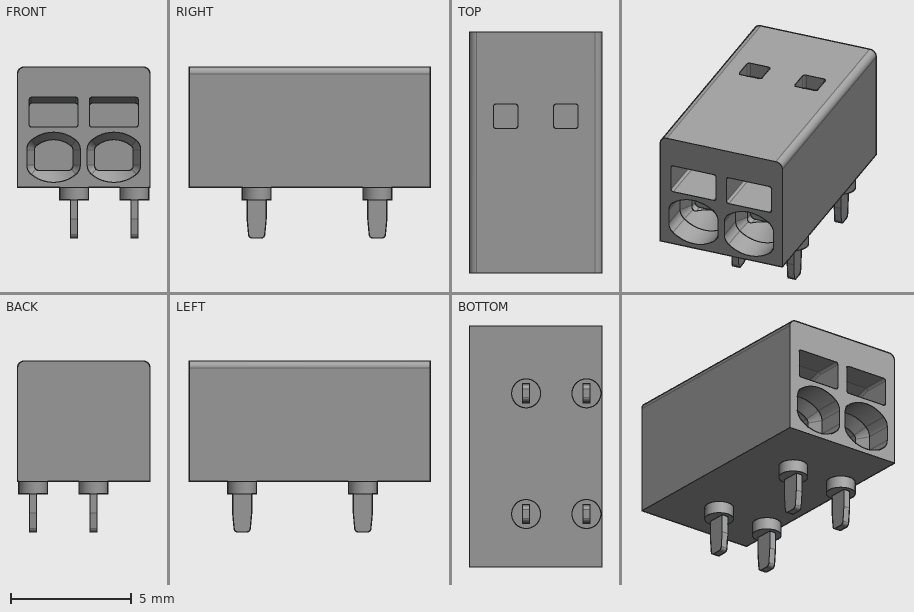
import cadquery as cq
import math

housing_width = 5.5
housing_length = 10.0
housing_height = 5.0
top_edge_radius = 0.3
front_y = -housing_length / 2

pole_pitch = 2.5
pole_xs = [-pole_pitch / 2, pole_pitch / 2]

window_width = 2.02
window_bottom = 2.5
window_height = 1.24
window_corner_radius = 0.1
window_straight_depth = 1.2
window_slope_drop = 0.25
window_slope_angle = 15.5

entry_center_z = 1.25
entry_half_width = 1.11
entry_half_height = 1.04
entry_flat_half_height = 0.31
entry_arch_radius = 1.45
mouth_depth = 1.2
funnel_end_inset = 0.5
funnel_angle = 30.0
bore_inset = 0.31
bore_floor_drop = 0.55
bore_floor_radius = 0.2

probe_size = 1.02
probe_y = 1.5
probe_depth = 0.63
probe_corner_radius = 0.12

collar_diameter = 1.2
collar_height = 0.52
pin_offset_x = 0.85
pin_xs = [pole_x + pin_offset_x for pole_x in pole_xs]
pin_spacing_y = 5.0
rear_pin_y = 2.8
pin_ys = [rear_pin_y - pin_spacing_y, rear_pin_y]

pin_thickness = 0.3
pin_width = 0.8
pin_tip_width = 0.65
pin_tip_z = -2.1
pin_taper_length = 0.8
pin_tip_radius = 0.16


def make_block():
    block = cq.Workplane("XY").box(
        housing_width, housing_length, housing_height, centered=(True, True, False)
    )
    return block.edges("|Y and >Z").fillet(top_edge_radius)


def make_window(pole_x):
    """Side profile of the window swept across its width, with rounded corners."""
    window_top = window_bottom + window_height
    slope_start_y = front_y + window_straight_depth
    slope_length = window_slope_drop / math.tan(math.radians(window_slope_angle))
    end_y = slope_start_y + slope_length
    window = (
        cq.Workplane("YZ", origin=(pole_x, 0, 0))
        .moveTo(front_y, window_bottom)
        .lineTo(end_y, window_bottom)
        .lineTo(end_y, window_top - window_slope_drop)
        .lineTo(slope_start_y, window_top)
        .lineTo(front_y, window_top)
        .close()
        .extrude(window_width / 2, both=True)
    )
    lengthwise_edges = window.faces("<X or >X").edges("not |Z")
    return lengthwise_edges.fillet(window_corner_radius)


def arch_points(inset):
    """Points of the upper right quarter of the entry outline, moved inwards by inset.

    A corner arc leaves the straight side tangentially and runs tangentially into
    the wide arch. Returns the side end, corner middle, joint and arch crown.
    """
    arch_center_z = entry_half_height - entry_arch_radius
    rise = entry_flat_half_height - arch_center_z
    corner_radius = (entry_arch_radius**2 - entry_half_width**2 - rise**2) / (
        2 * (entry_arch_radius - entry_half_width)
    )
    corner_center_x = entry_half_width - corner_radius
    joint_angle = math.atan2(rise, corner_center_x)
    radius = corner_radius - inset

    def corner_point(angle):
        return (
            corner_center_x + radius * math.cos(angle),
            entry_flat_half_height + radius * math.sin(angle),
        )

    crown = (0, entry_half_height - inset)
    return corner_point(0), corner_point(joint_angle / 2), corner_point(joint_angle), crown


def mirror_x(point):
    return (-point[0], point[1])


def mirror_z(point):
    return (point[0], -point[1])


def draw_arch(plane, inset):
    """Right corner, arch and left corner, from the upper end of the right side to that of the left."""
    side_end, corner, joint, crown = arch_points(inset)
    return (
        plane.threePointArc(corner, joint)
        .threePointArc(crown, mirror_x(joint))
        .threePointArc(mirror_x(corner), mirror_x(side_end))
    )


def draw_entry_outline(plane, inset):
    """Entry outline, the same above and below its centre."""
    side_end, corner, joint, crown = arch_points(inset)
    low_side, low_corner, low_joint, low_crown = map(mirror_z, (side_end, corner, joint, crown))
    upper_half = draw_arch(plane.moveTo(*low_side).lineTo(*side_end), inset)
    return (
        upper_half.lineTo(*mirror_x(low_side))
        .threePointArc(mirror_x(low_corner), mirror_x(low_joint))
        .threePointArc(low_crown, low_joint)
        .threePointArc(low_corner, low_side)
        .close()
    )


def make_bore(plane, depth):
    """Bore with the arched top of the entry outline and a flat floor with rounded corners."""
    half_width = entry_half_width - bore_inset
    floor_end = (half_width, -bore_floor_drop)
    upper_side_end = arch_points(bore_inset)[0]
    outline = draw_arch(plane.moveTo(*floor_end).lineTo(*upper_side_end), bore_inset)
    bore = outline.lineTo(*mirror_x(floor_end)).close().extrude(-depth)
    floor_corners = bore.faces("<Z").edges("|Y")
    return floor_corners.fillet(bore_floor_radius)


def make_wire_entry(pole_x):
    """The funnel runs on until it lies wholly within the bore, which ends at the same depth."""
    funnel_length = funnel_end_inset / math.tan(math.radians(funnel_angle))
    mouth_plane = cq.Workplane("XZ", origin=(pole_x, front_y, entry_center_z))
    inner_plane = cq.Workplane("XZ", origin=(pole_x, front_y + mouth_depth, entry_center_z))
    mouth = draw_entry_outline(mouth_plane, 0).extrude(-mouth_depth)
    funnel_start = draw_entry_outline(inner_plane, 0).workplane(offset=-funnel_length)
    funnel = draw_entry_outline(funnel_start, funnel_end_inset).loft(ruled=True)
    return mouth.union(funnel).union(make_bore(inner_plane, funnel_length))


def make_probe_pocket(pole_x):
    pocket = cq.Workplane("XY", origin=(pole_x, probe_y, housing_height)).rect(probe_size, probe_size)
    return pocket.extrude(-probe_depth).edges("|Z").fillet(probe_corner_radius)


def make_collar(x, y):
    return cq.Workplane("XY", origin=(x, y, 0)).circle(collar_diameter / 2).extrude(-collar_height)


def make_housing():
    body = make_block()
    for pole_x in pole_xs:
        body = body.cut(make_window(pole_x))
        body = body.cut(make_wire_entry(pole_x))
        body = body.cut(make_probe_pocket(pole_x))
    for x in pin_xs:
        for y in pin_ys:
            body = body.union(make_collar(x, y))
    return body


def make_pin(x, y):
    """Flat pin that starts at the underside of its collar."""
    taper_z = pin_tip_z + pin_taper_length
    pin = (
        cq.Workplane("YZ", origin=(x, y, 0))
        .moveTo(-pin_width / 2, -collar_height)
        .lineTo(pin_width / 2, -collar_height)
        .lineTo(pin_width / 2, taper_z)
        .lineTo(pin_tip_width / 2, pin_tip_z)
        .lineTo(-pin_tip_width / 2, pin_tip_z)
        .lineTo(-pin_width / 2, taper_z)
        .close()
        .extrude(pin_thickness / 2, both=True)
    )
    return pin.faces("<Z").edges("|X").fillet(pin_tip_radius)


housing = make_housing()
pins = [make_pin(x, y) for x in pin_xs for y in pin_ys]

result = cq.Compound.makeCompound([housing.val(), *[pin.val() for pin in pins]])